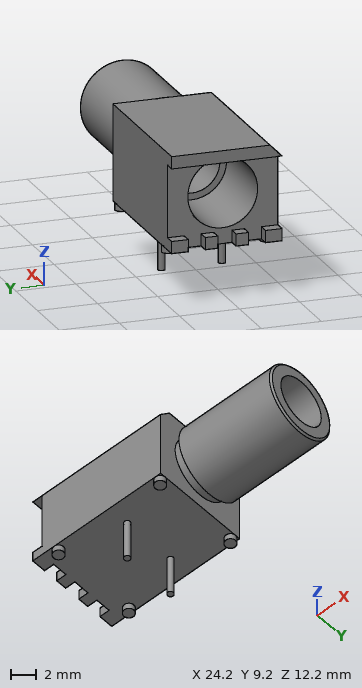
import cadquery as cq

housing_length = 13.53
housing_width = 9.2
housing_height = 8.03
front_recess = 0.97
roof_thickness = 1.02
tooth_height = 1.02
outer_tooth_width = 1.38
inner_tooth_width = 1.05
inner_tooth_offset = 1.28

axis_height = 4.2
bore_radius = 2.35
neck_radius = 2.9
barrel_radius = 3.5
neck_start = 8.1
barrel_start = 14.47
barrel_end = 24.2
barrel_chamfer = 0.17

foot_radius = 0.5
foot_height = 0.6
front_foot_x = 2.27
rear_foot_x = housing_length - foot_radius
foot_offset = housing_width / 2 - foot_radius
pin_radius = 0.3
pin_length = 4.16
pin_x = 8.1
pin_offset = 2.52


def axial_cylinder(radius, start, end):
    """Solid cylinder on the connector axis between two X positions."""
    return (
        cq.Workplane("YZ", origin=(start, 0, axis_height))
        .circle(radius)
        .extrude(end - start)
    )


def hanging_cylinder(radius, length, x, y):
    """Solid cylinder going down from the underside of the housing."""
    return cq.Workplane("XY").center(x, y).circle(radius).extrude(-length)


def front_tooth(width, y):
    """Block in front of the recessed face, level with the underside."""
    return cq.Workplane("XY").box(
        front_recess, width, tooth_height, centered=(False, True, False)
    ).translate((0, y, 0))


def make_housing():
    block = cq.Workplane("XY").box(
        housing_length, housing_width, housing_height, centered=(False, True, False)
    )
    block = block.edges("|X and >Z and <Y").chamfer(roof_thickness)
    recess = cq.Workplane("XY").box(
        front_recess, housing_width, housing_height - roof_thickness, centered=(False, True, False)
    )
    body = block.cut(recess)
    outer_tooth_offset = (housing_width - outer_tooth_width) / 2
    for side in (-1, 1):
        body = body.union(front_tooth(outer_tooth_width, side * outer_tooth_offset))
        body = body.union(front_tooth(inner_tooth_width, side * inner_tooth_offset))
    return body.cut(axial_cylinder(neck_radius, front_recess, housing_length))


def make_connector():
    """Hollow neck seated in the rear of the housing bore, widening to a chamfered barrel."""
    neck = axial_cylinder(neck_radius, neck_start, barrel_start)
    barrel = axial_cylinder(barrel_radius, barrel_start, barrel_end)
    barrel = barrel.faces(">X").edges().chamfer(barrel_chamfer)
    return neck.union(barrel).cut(axial_cylinder(bore_radius, neck_start, barrel_end))


housing = make_housing()
connector = make_connector()

feet = []
for foot_x in (front_foot_x, rear_foot_x):
    for side in (-1, 1):
        foot = hanging_cylinder(foot_radius, foot_height, foot_x, side * foot_offset)
        feet.append(foot.val())

pins = []
for side in (-1, 1):
    pin = hanging_cylinder(pin_radius, pin_length, pin_x, side * pin_offset)
    pins.append(pin.val())

result = cq.Compound.makeCompound([housing.val(), connector.val(), *feet, *pins])